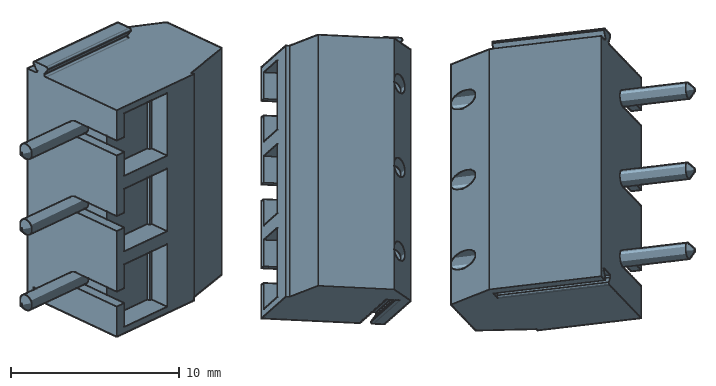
import cadquery as cq

ways = 3
width = 7.5
depth = 10.0
height = 15.24
pitch = height / ways
row_heights = [pitch * (i + 0.5) for i in range(ways)]

chamfer_width = 1.72
chamfer_foot_y = 7.0
slope_width = 1.15
shoulder_width = 0.22
shoulder_y = 6.5

rail_x = 1.12
rail_height = 0.7
rail_half_width = 0.6
neck_half_width = 0.3
neck_height = 0.13
neck_round = 0.12
lip_height = 0.16
lip_round = 0.15

pin_diameter = 1.0
pin_x = 4.0
pin_length = 4.51
pin_embed = 1.6
pin_tip_bevel = 0.4

driver_diameter = 1.1
driver_x = chamfer_width - driver_diameter / 2

slot_height = pin_diameter
wall_thickness = 0.64
entry_height = 4.21
entry_back_y = 4.24
entry_end_x = 6.03
ledge_width = 0.18
ledge_height = 0.18


def housing():
    outline = [
        (0, 0),
        (width, 0),
        (width, shoulder_y),
        (width - shoulder_width, shoulder_y),
        (width - slope_width, depth),
        (chamfer_width, depth),
        (0, chamfer_foot_y),
    ]
    return cq.Workplane("XY").polyline(outline).close().extrude(height)


def dovetail(base_z):
    """Dovetail bar standing on base_z, from the pin side to the chamfer foot."""
    half_profile = [
        (neck_half_width, 0),
        (neck_half_width, neck_height),
        (rail_half_width, rail_height - lip_height),
        (rail_half_width, rail_height),
    ]
    profile = half_profile + [(-x, z) for x, z in reversed(half_profile)]
    bar = cq.Workplane("XZ").polyline(profile).close().extrude(-chamfer_foot_y)
    return bar.translate((rail_x, 0, base_z))


def round_neck(body, z):
    """Round the two edges where a dovetail neck meets the housing face at height z."""
    low = (rail_x - rail_half_width, 0, z - neck_height / 2)
    high = (rail_x + rail_half_width, chamfer_foot_y, z + neck_height / 2)
    neck_edges = cq.selectors.BoxSelector(low, high)
    return body.edges("|Y").edges(neck_edges).fillet(neck_round)


def pin(z):
    full_length = pin_length + pin_embed
    rod = cq.Workplane("XZ").circle(pin_diameter / 2).extrude(full_length)
    rod = rod.faces("<Y").chamfer(pin_tip_bevel)
    return rod.translate((pin_x, pin_embed, z))


def driver_hole(z):
    drill = cq.Workplane("XZ").circle(driver_diameter / 2).extrude(chamfer_foot_y - depth)
    return drill.translate((driver_x, chamfer_foot_y, z))


def box_around_row(z, box_height, low_x, low_y, high_y):
    """Box centred on one row height, reaching from low_x to the +X side."""
    box = cq.Workplane("XY").box(width - low_x, high_y - low_y, box_height, centered=(False, False, True))
    return box.translate((low_x, low_y, z))


def wire_entry(z):
    """Slot from the pin to the +X side, running into the wire entry behind the front wall."""
    slot = box_around_row(z, slot_height, pin_x, 0, wall_thickness)
    ledge_y = entry_back_y - ledge_height
    entry = box_around_row(z, entry_height, entry_end_x, wall_thickness, ledge_y)
    beyond_ledge = box_around_row(z, entry_height, entry_end_x + ledge_width, ledge_y, entry_back_y)
    return slot.union(entry).union(beyond_ledge)


rail = dovetail(height).faces(">Z").edges("|Y").fillet(lip_round)
result = housing().union(rail).cut(dovetail(0))
for face_z in (0, height):
    result = round_neck(result, face_z)
for row_z in row_heights:
    result = result.cut(driver_hole(row_z)).cut(wire_entry(row_z)).union(pin(row_z))